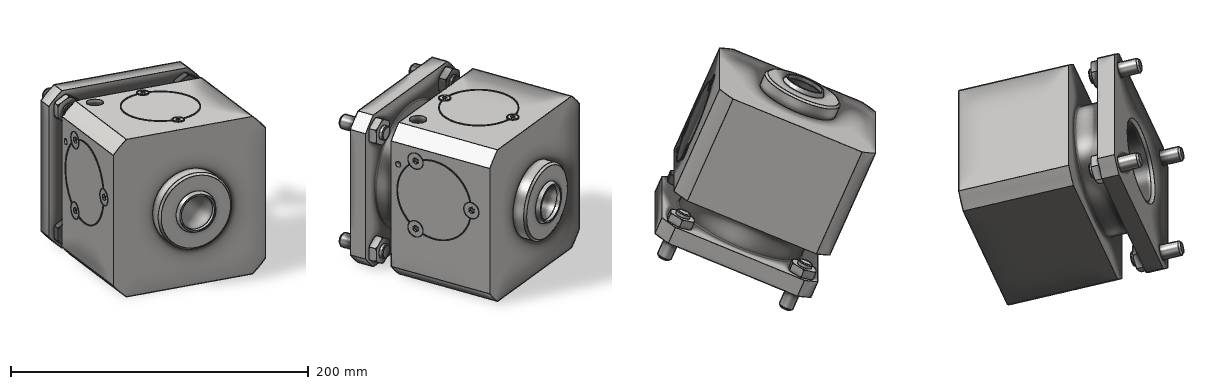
import cadquery as cq
import math


square_side = 114.0
corner_diameter = 147.9
plate_start = 14.3
plate_end = 26.4
box_start = 46.6
box_end = 124.5

neck_diameter = 90.0
flare = 1.0

nose_diameter = 55.0
nose_end = 134.5
nose_chamfer = 1.5
wiper_root_diameter = 29.7
wiper_tip_diameter = 27.0
wiper_end = 137.5

pilot_diameter = 55.1
pilot_mouth_diameter = 59.4
pilot_mouth_length = 2.0
pilot_depth = 38.5
pilot_corner_radius = 1.6
bore_diameter = 27.0
lip_diameter = 24.7

stud_spacing = 89.0
stud_diameter = 10.0
stud_tip_diameter = 7.4
stud_tip_length = 1.4
stud_length = 35.2
stud_back_chamfer = 0.7
stud_hole_diameter = 11.0
nut_width = 17.0
nut_thickness = 5.9
nut_bevel = 0.7

cover_x = 80.4
groove_width = 0.4
groove_depth = 0.4
socket_depth = 2.0
drill_point_angle = 118

side_cover_z = 11.5
side_cover_diameter = 58.8
side_screw_circle = side_cover_diameter
side_screw_count = 3
side_screw_diameter = 12.0
side_screw_recess = 0.3
side_socket_diameter = 4.5

top_cover_diameter = 53.9
top_screw_circle = top_cover_diameter
top_screw_count = 2
top_screw_diameter = 7.7
top_screw_seat_diameter = 8.4
top_screw_rise = 0.3
top_screw_seat_depth = 0.4
top_socket_diameter = 3.0

side_hole_x = 52.1
side_hole_z = 31.0
side_hole_diameter = 4.0
side_hole_depth = 8.2
top_hole_x = 55.3
top_hole_y = -36.7
top_hole_diameter = 11.5
top_hole_depth = 16.5

half_side = square_side / 2


def rod(start, end, diameter):
    """Cylinder on the main axis."""
    return cq.Workplane("YZ", origin=(start, 0, 0)).circle(diameter / 2).extrude(end - start)


def turned_square(start, end):
    """Square block whose four corners are turned to a common diameter."""
    block = cq.Workplane("YZ", origin=(start, 0, 0)).rect(square_side, square_side).extrude(end - start)
    return block.intersect(rod(start, end, corner_diameter))


def neck():
    radius = neck_diameter / 2
    bend = flare * math.sqrt(0.5)
    return (
        cq.Workplane("XY")
        .moveTo(plate_end, 0)
        .lineTo(plate_end, radius + flare)
        .threePointArc((plate_end + flare - bend, radius + flare - bend), (plate_end + flare, radius))
        .lineTo(box_start - flare, radius)
        .threePointArc((box_start - flare + bend, radius + flare - bend), (box_start, radius + flare))
        .lineTo(box_start, 0)
        .close()
        .revolve(360, (0, 0, 0), (1, 0, 0))
    )


def nose():
    body = rod(box_end, nose_end, nose_diameter).faces(">X").chamfer(nose_chamfer)
    wiper = (
        cq.Workplane("YZ", origin=(nose_end, 0, 0))
        .circle(wiper_root_diameter / 2)
        .workplane(offset=wiper_end - nose_end)
        .circle(wiper_tip_diameter / 2)
        .loft()
    )
    return body.union(wiper)


def bore():
    pilot = rod(plate_start, plate_start + pilot_depth, pilot_diameter).faces(">X").edges()
    pilot = pilot.fillet(pilot_corner_radius)
    mouth = (
        cq.Workplane("YZ", origin=(plate_start, 0, 0))
        .circle(pilot_mouth_diameter / 2)
        .workplane(offset=pilot_mouth_length)
        .circle(pilot_diameter / 2)
        .loft()
    )
    clearance = rod(plate_start, nose_end, bore_diameter)
    lip = rod(plate_start, wiper_end, lip_diameter)
    return pilot.union(mouth).union(clearance).union(lip)


def stud_with_nut():
    """Stud on the main axis with its nut seated against the back of the plate."""
    stud = rod(0, stud_length, stud_diameter).faces(">X").chamfer(stud_back_chamfer)
    tip_step = (stud_diameter - stud_tip_diameter) / 2
    stud = stud.faces("<X").chamfer(stud_tip_length, tip_step)
    corner_width = nut_width / math.cos(math.pi / 6)
    nut = (
        cq.Workplane("YZ", origin=(plate_end, 0, 0))
        .transformed(rotate=(0, 0, 90))
        .polygon(6, corner_width)
        .extrude(nut_thickness)
    )
    bevelled = rod(plate_end, plate_end + nut_thickness, corner_width).faces("<X or >X").chamfer(nut_bevel)
    return stud.union(nut.intersect(bevelled))


side_face = cq.Plane(origin=(0, -half_side, 0), xDir=(1, 0, 0), normal=(0, -1, 0))
top_face = cq.Plane(origin=(0, 0, half_side), xDir=(1, 0, 0), normal=(0, 0, 1))


def disc(face, u, v, diameter, bottom, top):
    plane = cq.Workplane(face).workplane(offset=bottom).center(u, v)
    return plane.circle(diameter / 2).extrude(top - bottom)


def drilled(face, u, v, diameter, depth, top=0.0):
    """Blind drilling whose full diameter reaches the depth, ending in a drill point."""
    radius = diameter / 2
    point_length = radius / math.tan(math.radians(drill_point_angle / 2))
    profile = [(0, top), (radius, top), (radius, -depth), (0, -depth - point_length)]
    turned = cq.Workplane("XZ").polyline(profile).close().revolve(360, (0, 0, 0), (0, 1, 0))
    place = cq.Plane(face.toWorldCoords((u, v, 0)), face.xDir, face.zDir)
    return cq.Workplane(turned.val().moved(cq.Location(place)))


def socket(face, u, v, diameter, depth, top):
    """Hexagon socket with a drill point; the diameter is across the corners."""
    hexagon = (
        cq.Workplane(face)
        .workplane(offset=top)
        .center(u, v)
        .transformed(rotate=(0, 0, 90))
        .polygon(6, diameter)
        .extrude(-depth - diameter)
    )
    return hexagon.intersect(drilled(face, u, v, diameter, depth, top))


def ring(face, u, v, outer_diameter, inner_diameter, depth):
    plane = cq.Workplane(face).center(u, v)
    return plane.circle(outer_diameter / 2).circle(inner_diameter / 2).extrude(-depth)


def screw_centres(u, v, circle, count):
    turns = [2 * math.pi * i / count for i in range(count)]
    return [(u + circle / 2 * math.cos(a), v + circle / 2 * math.sin(a)) for a in turns]


def cover_groove(face, u, v, diameter, screws, screw_diameter):
    """Groove around a cover, interrupted by the screw heads."""
    groove = ring(face, u, v, diameter, diameter - 2 * groove_width, groove_depth)
    for screw_u, screw_v in screws:
        groove = groove.cut(disc(face, screw_u, screw_v, screw_diameter, -groove_depth, 0))
    return groove


def add_side_cover(body):
    screws = screw_centres(cover_x, side_cover_z, side_screw_circle, side_screw_count)
    body = body.cut(
        cover_groove(side_face, cover_x, side_cover_z, side_cover_diameter, screws, side_screw_diameter)
    )
    for u, v in screws:
        body = body.cut(disc(side_face, u, v, side_screw_diameter, -side_screw_recess, 0))
        body = body.cut(socket(side_face, u, v, side_socket_diameter, socket_depth, 0))
    return body


def add_top_cover(body):
    screws = screw_centres(cover_x, 0, top_screw_circle, top_screw_count)
    body = body.cut(cover_groove(top_face, cover_x, 0, top_cover_diameter, screws, top_screw_diameter))
    for u, v in screws:
        body = body.cut(disc(top_face, u, v, top_screw_seat_diameter, -top_screw_seat_depth, 0))
        body = body.union(disc(top_face, u, v, top_screw_diameter, -top_screw_seat_depth, top_screw_rise))
        body = body.cut(socket(top_face, u, v, top_socket_diameter, socket_depth, top_screw_rise))
    return body


body = turned_square(plate_start, plate_end).union(neck())
body = body.union(turned_square(box_start, box_end)).union(nose()).cut(bore())

stud = stud_with_nut()
stud_hole = rod(plate_start, plate_end, stud_hole_diameter)
for y in (-stud_spacing / 2, stud_spacing / 2):
    for z in (-stud_spacing / 2, stud_spacing / 2):
        body = body.cut(stud_hole.translate((0, y, z))).union(stud.translate((0, y, z)))

body = add_side_cover(body)
body = add_top_cover(body)

body = body.cut(drilled(side_face, side_hole_x, side_hole_z, side_hole_diameter, side_hole_depth))
body = body.cut(drilled(top_face, top_hole_x, top_hole_y, top_hole_diameter, top_hole_depth))

result = body